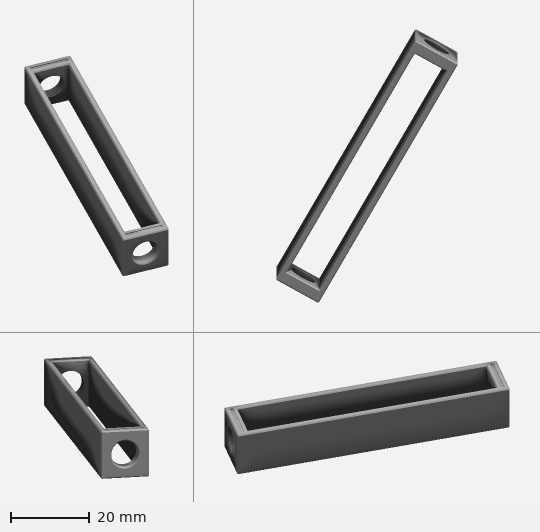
import cadquery as cq

length = 71.9
side = 12.5
edge_break = 0.3

end_wall = 3.15
side_wall = 1.6
opening_break = 0.3

hole_diameter = 7.0
hole_break = 0.3

slot_width = 0.9
slot_length = 10.2
slot_depth = 0.2
slot_inset = 1.15

flare_angle = 45
half_length = length / 2
half_side = side / 2


def bar():
    return cq.Workplane("XY").box(length, side, side).edges().chamfer(edge_break)


def opening():
    opening_length = length - 2 * end_wall
    opening_width = side - 2 * side_wall
    cutter = cq.Workplane("XY").box(opening_length, opening_width, side)
    flare = (
        cq.Workplane("XY", origin=(0, 0, half_side))
        .rect(opening_length + 2 * opening_break, opening_width + 2 * opening_break)
        .extrude(-opening_break, taper=flare_angle)
    )
    return cutter.union(flare).union(flare.mirror("XY"))


def end_holes():
    radius = hole_diameter / 2
    bore = cq.Workplane("YZ").circle(radius).extrude(half_length, both=True)
    flare = (
        cq.Workplane("YZ", origin=(half_length, 0, 0))
        .circle(radius + hole_break)
        .extrude(-hole_break, taper=flare_angle)
    )
    return bore.union(flare).union(flare.mirror("YZ"))


def end_slots():
    slot_x = half_length - slot_inset - slot_width / 2
    return (
        cq.Workplane("XY", origin=(0, 0, half_side))
        .pushPoints([(-slot_x, 0), (slot_x, 0)])
        .rect(slot_width, slot_length)
        .extrude(-slot_depth)
    )


result = bar().cut(opening()).cut(end_holes()).cut(end_slots())